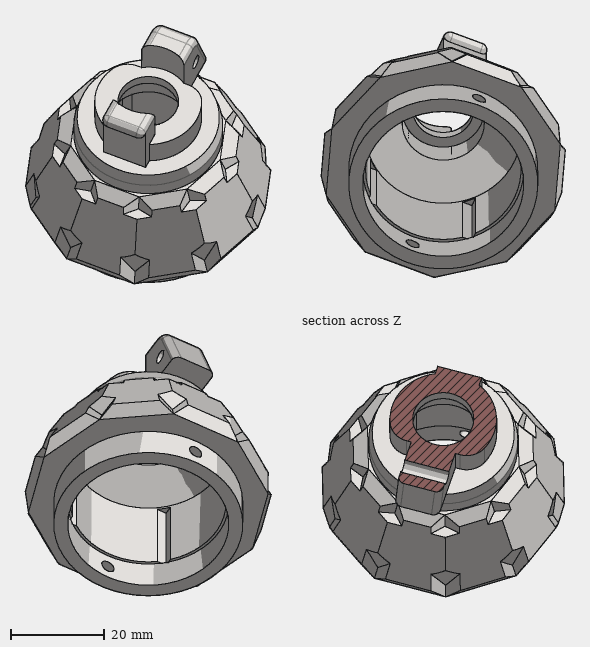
import cadquery as cq
import math

overall_length = 52.5
overall_width = 51.85
overall_height = 46.45

base_diameter = 40.6
pin_hole_diameter = 3.0
pin_hole_height = 3.45

side_count = 10
shell_bottom = 7.0
ridge_level = 10.25
shoulder_level = 25.5
shell_top = 26.7
bottom_apothem = 24.6
ridge_apothem = overall_width / 2
shoulder_apothem = 19.3
top_apothem = 16.15

lower_notch_radius = 24.6
upper_notch_floor = 24.0
groove_overrun = 5.25

collar_diameter = 32.0
collar_rim_diameter = 30.55
collar_cone_start = 29.75
collar_top = 32.5
boss_diameter = 23.0
boss_top = 38.45
boss_flat_y = 7.5
boss_corner_radius = 5.0

lug_width = 9.95
lug_inner_diameter = 18.0
lug_edge_radius = 1.5
front_lug_face_y = -12.3
rear_lug_foot_y = 20.15
rear_lug_peak_y = 14.8
rear_lug_back_radius = 4.0
lug_hole_diameter = 3.0
lug_hole_y = 13.7

mouth_diameter = 34.6
cavity_diameter = 33.4
cavity_wall_top = 24.65
pocket_length_x = 24.35
pocket_length_y = 26.7
pocket_top = 24.15
neck_bore_diameter = 17.65
neck_bore_bottom = 29.65
neck_bore_top = 36.0
top_bore_diameter = 13.0

half_angle = math.pi / side_count


def disc(diameter, bottom, top):
    return cq.Workplane("XY", origin=(0, 0, bottom)).circle(diameter / 2).extrude(top - bottom)


def revolved(outline):
    """Body of revolution about Z from an outline in radius and height."""
    return cq.Workplane("XZ").polyline(outline).close().revolve(360, (0, 0, 0), (0, 1, 0))


def corner_radius(apothem):
    return apothem / math.cos(half_angle)


def shell_tier(bottom, bottom_size, top, top_size):
    """Tapered polygonal tier, with a corner on the X axis."""
    return (
        cq.Workplane("XY", origin=(0, 0, bottom))
        .polygon(side_count, 2 * corner_radius(bottom_size))
        .workplane(offset=top - bottom)
        .polygon(side_count, 2 * corner_radius(top_size))
        .loft(ruled=True, combine=True)
    )


def groove_apex(level):
    """Radius of the groove bottom, which joins the lower and upper corners of the shell."""
    start = corner_radius(bottom_apothem)
    end = corner_radius(top_apothem)
    return start + (end - start) * (level - shell_bottom) / (shell_top - shell_bottom)


def corner_groove():
    """V groove running up the shell corner that lies on the +X axis."""
    corner_x = overall_length / 2
    corner_y = (ridge_apothem - corner_x * math.cos(half_angle)) / math.sin(half_angle)
    flank_slope = corner_y / (corner_x - groove_apex(ridge_level))
    low = shell_bottom - groove_overrun
    high = shell_top + groove_overrun

    def section(level):
        apex = groove_apex(level)
        half_width = groove_overrun * flank_slope
        outer = apex + groove_overrun
        return [(apex, 0), (outer, half_width), (outer, -half_width)]

    return (
        cq.Workplane("XY", origin=(0, 0, low))
        .polyline(section(low)).close()
        .workplane(offset=high - low)
        .polyline(section(high)).close()
        .loft(ruled=True, combine=True)
    )


def make_shell():
    shell = shell_tier(shell_bottom, bottom_apothem, ridge_level, ridge_apothem)
    shell = shell.union(shell_tier(ridge_level, ridge_apothem, shoulder_level, shoulder_apothem))
    shell = shell.union(shell_tier(shoulder_level, shoulder_apothem, shell_top, top_apothem))

    filled = disc(2 * lower_notch_radius, shell_bottom - groove_overrun, upper_notch_floor)
    notch_pair = corner_groove().cut(filled)
    for index in range(side_count):
        shell = shell.cut(notch_pair.rotate((0, 0, 0), (0, 0, 1), index * 360 / side_count))
    return shell


def make_collar():
    rim_radius = collar_rim_diameter / 2
    radius = collar_diameter / 2
    outline = [
        (0, shell_bottom),
        (radius, shell_bottom),
        (radius, collar_cone_start),
        (rim_radius, collar_top),
        (0, collar_top),
    ]
    return revolved(outline)


def make_boss():
    """Disc flattened on the rear side, with a round core that fills up to the rear lug."""
    boss = disc(boss_diameter, collar_top, boss_top)
    behind_flat = (
        cq.Workplane("XY", origin=(0, boss_flat_y, collar_top))
        .rect(boss_diameter, boss_diameter)
        .extrude(boss_top - collar_top)
        .translate((0, boss_diameter / 2, 0))
    )
    boss = boss.cut(behind_flat)
    boss = boss.faces(">Y").edges("|Z").fillet(boss_corner_radius)
    return boss.union(disc(lug_inner_diameter, collar_top, boss_top))


def lug_blank(outline):
    """Lug with an outline in Y and Z, centred on the YZ plane."""
    return cq.Workplane("YZ").polyline(outline).close().extrude(lug_width / 2, both=True)


def lug_clearance():
    return disc(lug_inner_diameter, collar_top, overall_height)


def make_rear_lug():
    lug = lug_blank([
        (0, collar_top),
        (rear_lug_foot_y, collar_top),
        (rear_lug_peak_y, overall_height),
        (0, overall_height),
    ])
    lug = lug.faces(">Z").edges(">Y").fillet(rear_lug_back_radius)
    lug = lug.faces(">Z").edges("|Y").fillet(lug_edge_radius)
    lug_hole = (
        cq.Workplane("YZ", origin=(0, lug_hole_y, boss_top))
        .circle(lug_hole_diameter / 2)
        .extrude(lug_width, both=True)
    )
    return lug.cut(lug_hole).cut(lug_clearance())


def make_front_lug():
    lug = lug_blank([
        (0, collar_top),
        (front_lug_face_y, collar_top),
        (front_lug_face_y, overall_height),
        (0, overall_height),
    ])
    lug = lug.faces(">Z").edges("|Y").fillet(lug_edge_radius)

    bead_level = overall_height - lug_edge_radius
    bead_half_length = lug_width / 2 - lug_edge_radius
    bead = (
        cq.Workplane("YZ", origin=(0, front_lug_face_y, bead_level))
        .circle(lug_edge_radius)
        .extrude(bead_half_length, both=True)
    )
    for end_x in (-bead_half_length, bead_half_length):
        bead = bead.union(
            cq.Workplane("XY", origin=(end_x, front_lug_face_y, bead_level)).sphere(lug_edge_radius)
        )
    return lug.union(bead).cut(lug_clearance())


def make_interior():
    mouth_radius = mouth_diameter / 2
    cavity_radius = cavity_diameter / 2
    neck_radius = neck_bore_diameter / 2
    top_radius = top_bore_diameter / 2
    outline = [
        (0, 0),
        (mouth_radius, 0),
        (mouth_radius, shell_bottom),
        (cavity_radius, shell_bottom),
        (cavity_radius, cavity_wall_top),
        (neck_radius, neck_bore_bottom),
        (neck_radius, neck_bore_top),
        (top_radius, neck_bore_top),
        (top_radius, boss_top),
        (0, boss_top),
    ]
    pocket = (
        cq.Workplane("XY", origin=(0, 0, shell_bottom))
        .rect(pocket_length_x, pocket_length_y)
        .extrude(pocket_top - shell_bottom)
    )
    return revolved(outline).union(pocket)


def make_pin_hole():
    """Cross hole along Y through both walls of the base."""
    return (
        cq.Workplane("XZ", origin=(0, 0, pin_hole_height))
        .circle(pin_hole_diameter / 2)
        .extrude(base_diameter, both=True)
    )


result = disc(base_diameter, 0, shell_bottom)
for piece in (make_shell(), make_collar(), make_boss(), make_rear_lug(), make_front_lug()):
    result = result.union(piece)
result = result.cut(make_interior()).cut(make_pin_hole())